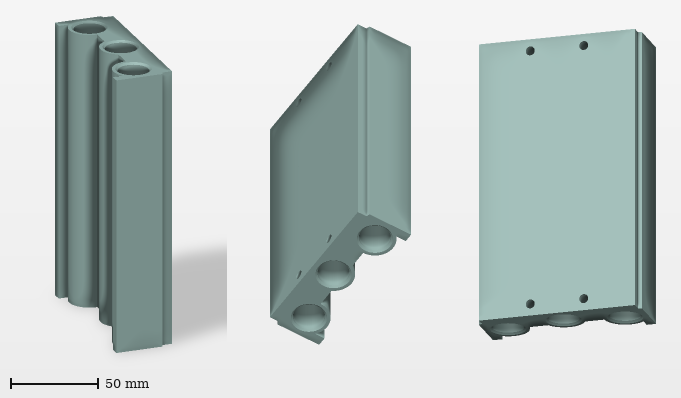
import cadquery as cq

width = 98.0
depth = 35.0
length = 168.0

back_step_width = 2.2
shoulder_inner_depth = 5.9
shoulder_outer_depth = 6.7
leg_thickness = 5.7

tube_radius = 12.5
bore_radius = 9.2
bore_chamfer = 1.2
side_tube_offset = 35.1
side_tube_height = 15.8
middle_tube_height = 21.5

hole_diameter = 5.4
hole_spacing = 32.1
hole_end_distance = 7.0

front = -depth / 2
back = depth / 2
web_front = front + side_tube_height
tube_centers = [
    (-side_tube_offset, front + side_tube_height),
    (0, front + middle_tube_height),
    (side_tube_offset, front + side_tube_height),
]


def channel_body():
    """Web with two side legs and a narrower back above sloped shoulders."""
    half_width = width / 2
    half_back = half_width - back_step_width
    half_channel = half_width - leg_thickness
    right_half = [
        (0, back),
        (half_back, back),
        (half_back, back - shoulder_inner_depth),
        (half_width, back - shoulder_outer_depth),
        (half_width, front),
        (half_channel, front),
        (half_channel, web_front),
        (0, web_front),
    ]
    profile = cq.Workplane("XY").workplane(offset=-length / 2).polyline(right_half)
    return profile.mirrorY().extrude(length)


def full_length_cylinders(radius):
    """One cylinder on each tube axis, over the full length."""
    base = cq.Workplane("XY").workplane(offset=-length / 2)
    return base.pushPoints(tube_centers).circle(radius).extrude(length)


def bore_mouth(center, end):
    """Cone that chamfers a bore at one end: +1 is the top, -1 the bottom."""
    cone = cq.Solid.makeCone(
        bore_radius + bore_chamfer,
        bore_radius,
        bore_chamfer,
        pnt=cq.Vector(center[0], center[1], end * length / 2),
        dir=cq.Vector(0, 0, -end),
    )
    return cq.Workplane(obj=cone)


def mounting_holes():
    """Four cylinders along Y, through the web near both ends."""
    return (
        cq.Workplane("XZ")
        .rect(hole_spacing, length - 2 * hole_end_distance, forConstruction=True)
        .vertices()
        .circle(hole_diameter / 2)
        .extrude(depth, both=True)
    )


result = channel_body().union(full_length_cylinders(tube_radius))
result = result.cut(full_length_cylinders(bore_radius))
for tube_center in tube_centers:
    for bore_end in (1, -1):
        result = result.cut(bore_mouth(tube_center, bore_end))
result = result.cut(mounting_holes())